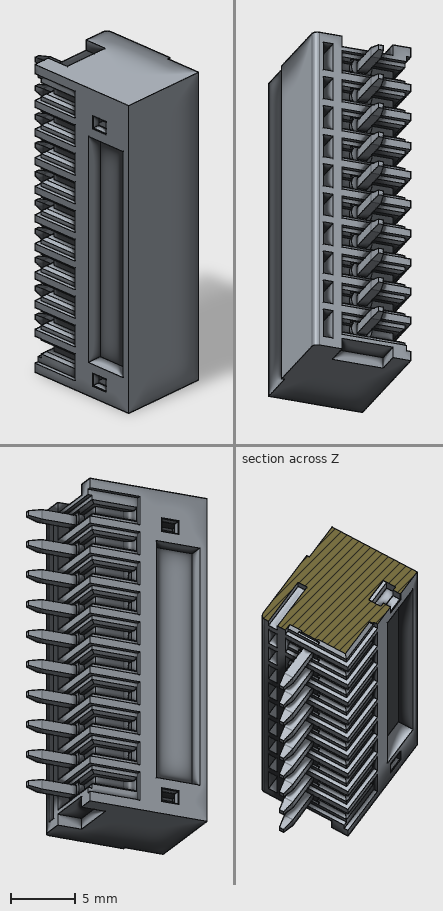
import cadquery as cq


CELL_COUNT = 10
PITCH = 2.5
ROW_HALF = PITCH * (CELL_COUNT - 1) / 2
CELL_HEIGHTS = [-ROW_HALF + PITCH * i for i in range(CELL_COUNT)]

BODY_LENGTH = 10.1
BODY_HEIGHT = 26.9
FRONT_Y = -3.9
BACK_Y = 4.2
BACK_STEP_X = 6.8
BACK_STEP_DEPTH = 0.25
BACK_EDGE_RADIUS = 0.45

SLOT_END_X = 4.3
SLOT_END_Y = 1.85
LEDGE_DEPTH = 0.35
LEDGE_HALF_HEIGHT = 0.95
MOUTH_HALF_HEIGHT = 0.6
GROOVE_HALF_HEIGHT = 0.4
LEAD_IN_DEPTH = 0.3
GROOVE_X = 1.0
GROOVE_Y = FRONT_Y + 1.1
GROOVE_RADIUS = 0.78
GROOVE_END_X = 4.2
END_LEDGE_HALF_HEIGHT = 1.4

SLIT_START_X = 3.8
SLIT_WIDTH = 0.2
SLIT_FLOOR_Y = GROOVE_Y + 0.4
FIRST_SLIT_CELL = 1
LAST_SLIT_CELL = 7

COLLAR_RADIUS = 0.85
COLLAR_FACE_X = 0.53
RELIEF_HALF_WIDTH = 0.93

POCKET_BACK_Y = BACK_Y - 0.8
POCKET_WIDTH = 0.8
POCKET_DEPTH = SLOT_END_X

NOTCH_LENGTH = 2.05
NOTCH_DEPTH = 0.9
NOTCH_FRONT_Y = FRONT_Y + 1.5

LABEL_START_X = 5.75
LABEL_END_X = 9.47
LABEL_CENTER_Z = -0.66
LABEL_HEIGHT = 19.75
LABEL_DEPTH = 1.35

WINDOW_DROP = 0.63
WINDOW_CENTER_X = 6.93
WINDOW_LENGTH = 1.5
WINDOW_HEIGHT = 1.15
WINDOW_CHAMFER = 0.06
WALL_THICKNESS = 0.7
CHAMBER_MARGIN = 0.3
CHAMBER_DEPTH = 0.8
CHAMBER_STEP_RISE = 0.21
CHAMBER_STEP_DEPTH = 0.3

PIN_SIZE = 0.8
PIN_TIP_SIZE = 0.4
PIN_REACH = 3.5
PIN_TIP_LENGTH = 1.05


def block(x_range, y_range, z_range):
    """Box between two limits along each axis."""
    corner = (x_range[0], y_range[0], z_range[0])
    size = [limits[1] - limits[0] for limits in (x_range, y_range, z_range)]
    return cq.Workplane("XY").box(*size, centered=False).translate(corner)


def make_housing():
    """Block with a rounded rear edge and a shallow step along the back."""
    half = BODY_HEIGHT / 2
    body = block((0, BODY_LENGTH), (FRONT_Y, BACK_Y), (-half, half))
    body = body.edges("|Z and <X and >Y").fillet(BACK_EDGE_RADIUS)
    return body.cut(block((BACK_STEP_X, BODY_LENGTH), (BACK_Y - BACK_STEP_DEPTH, BACK_Y), (-half, half)))


def cell_limits(z):
    """Limits of a cell along Z, drawn out towards the end of the housing in the end cells."""
    low = END_LEDGE_HALF_HEIGHT if z == CELL_HEIGHTS[0] else LEDGE_HALF_HEIGHT
    high = END_LEDGE_HALF_HEIGHT if z == CELL_HEIGHTS[-1] else LEDGE_HALF_HEIGHT
    return (z - low, z + high)


def make_ledge(z):
    """Shallow recess around a contact slot, in the mounting face and in the front face."""
    side = block((0, LEDGE_DEPTH), (FRONT_Y, SLOT_END_Y), (z - LEDGE_HALF_HEIGHT, z + LEDGE_HALF_HEIGHT))
    front = block((0, SLOT_END_X), (FRONT_Y, FRONT_Y + LEDGE_DEPTH), cell_limits(z))
    return side.union(front)


def groove_prism(z, half_height):
    """Plan of a contact groove, with its rounded inner end, extruded about the middle of a cell."""
    return (
        cq.Workplane("XY", origin=(0, 0, z - half_height))
        .moveTo(0, FRONT_Y)
        .lineTo(GROOVE_END_X, FRONT_Y)
        .lineTo(GROOVE_END_X, GROOVE_Y - GROOVE_RADIUS)
        .radiusArc((GROOVE_END_X - GROOVE_RADIUS, GROOVE_Y), -GROOVE_RADIUS)
        .lineTo(GROOVE_X, GROOVE_Y)
        .lineTo(GROOVE_X, SLOT_END_Y)
        .lineTo(0, SLOT_END_Y)
        .close()
        .extrude(2 * half_height)
    )


def lead_in_section(plane):
    """Trapezoid that narrows from the mouth to the groove, in the coordinates (depth, height)."""
    inner = LEDGE_DEPTH + LEAD_IN_DEPTH
    return (
        cq.Workplane(plane)
        .moveTo(LEDGE_DEPTH, -MOUTH_HALF_HEIGHT)
        .lineTo(inner, -GROOVE_HALF_HEIGHT)
        .lineTo(inner, GROOVE_HALF_HEIGHT)
        .lineTo(LEDGE_DEPTH, MOUTH_HALF_HEIGHT)
        .close()
    )


def make_lead_in(z):
    """Sloped lead-in from the ledge to the groove on both faces, mitred at the corner."""
    side = lead_in_section("XZ").extrude(SLOT_END_Y - FRONT_Y - LEDGE_DEPTH)
    side = side.translate((0, SLOT_END_Y, 0))
    front = lead_in_section("YZ").extrude(SLOT_END_X - LEDGE_DEPTH)
    front = front.translate((LEDGE_DEPTH, FRONT_Y, 0))
    lead_in = side.union(front).translate((0, 0, z))
    return lead_in.intersect(groove_prism(z, MOUTH_HALF_HEIGHT))


def make_slit(z):
    """Narrow slit across the rounded end of a groove, running past its floor."""
    slit_x = (SLIT_START_X, SLIT_START_X + SLIT_WIDTH)
    slit_z = (z - GROOVE_HALF_HEIGHT, z + GROOVE_HALF_HEIGHT)
    return block(slit_x, (GROOVE_Y - GROOVE_RADIUS, SLIT_FLOOR_Y), slit_z)


def make_collar(z):
    """Round collar that carries a pin inside its slot."""
    return (
        cq.Workplane("YZ", origin=(COLLAR_FACE_X, 0, z))
        .circle(COLLAR_RADIUS)
        .extrude(GROOVE_X - COLLAR_FACE_X)
    )


def make_relief(z):
    """Straight-sided opening in front of a collar, as high as the mouth of the lead-in."""
    z_range = (z - MOUTH_HALF_HEIGHT, z + MOUTH_HALF_HEIGHT)
    return block((LEDGE_DEPTH, COLLAR_FACE_X), (-RELIEF_HALF_WIDTH, RELIEF_HALF_WIDTH), z_range)


def make_pin(z):
    """Square pin with a tapered tip."""
    shank_start = PIN_TIP_LENGTH - PIN_REACH
    shank = (
        cq.Workplane("YZ", origin=(shank_start, 0, z))
        .rect(PIN_SIZE, PIN_SIZE)
        .extrude(GROOVE_X - shank_start)
    )
    tip = (
        cq.Workplane("YZ", origin=(-PIN_REACH, 0, z))
        .rect(PIN_TIP_SIZE, PIN_TIP_SIZE)
        .workplane(offset=PIN_TIP_LENGTH)
        .rect(PIN_SIZE, PIN_SIZE)
        .loft()
    )
    return shank.union(tip)


def make_notch(end):
    """Notch in the upper (end = 1) or lower (end = -1) end of the housing."""
    outer = end * BODY_HEIGHT / 2
    inner = outer - end * NOTCH_DEPTH
    return block((0, NOTCH_LENGTH), (NOTCH_FRONT_Y, SLOT_END_Y), sorted((inner, outer)))


def make_window(z):
    """Chamfered window in the front face and the chamber behind it, whose back is stepped."""
    center_z = z - WINDOW_DROP
    half_height = WINDOW_HEIGHT / 2
    throat_length = WINDOW_LENGTH - 2 * WINDOW_CHAMFER
    throat_height = WINDOW_HEIGHT - 2 * WINDOW_CHAMFER
    window = cq.Workplane("XZ", origin=(WINDOW_CENTER_X, FRONT_Y, center_z))
    mouth = (
        window.rect(WINDOW_LENGTH, WINDOW_HEIGHT)
        .workplane(offset=-WINDOW_CHAMFER)
        .rect(throat_length, throat_height)
        .loft()
    )
    throat = window.rect(throat_length, throat_height).extrude(-WALL_THICKNESS)

    half_length = WINDOW_LENGTH / 2 + CHAMBER_MARGIN
    chamber_x = (WINDOW_CENTER_X - half_length, WINDOW_CENTER_X + half_length)
    chamber_front_y = FRONT_Y + WALL_THICKNESS
    chamber_back_y = chamber_front_y + CHAMBER_DEPTH
    chamber_z = (center_z - half_height, center_z + half_height)
    chamber = block(chamber_x, (chamber_front_y, chamber_back_y), chamber_z)
    step_y = (chamber_back_y, chamber_back_y + CHAMBER_STEP_DEPTH)
    step = block(chamber_x, step_y, (center_z + CHAMBER_STEP_RISE, chamber_z[1]))
    return mouth.union(throat).union(chamber).union(step)


def make_label_recess():
    """Long shallow recess in the front face, between the windows."""
    z_range = (LABEL_CENTER_Z - LABEL_HEIGHT / 2, LABEL_CENTER_Z + LABEL_HEIGHT / 2)
    return block((LABEL_START_X, LABEL_END_X), (FRONT_Y, FRONT_Y + LABEL_DEPTH), z_range)


def make_slot(z):
    """Complete contact slot of one cell, leaving its collar standing."""
    groove = groove_prism(z, GROOVE_HALF_HEIGHT).union(make_lead_in(z))
    return groove.cut(make_collar(z)).union(make_relief(z)).union(make_ledge(z))


def make_pocket(z):
    """Rear pocket of one cell, in the mounting face."""
    return block((0, POCKET_DEPTH), (POCKET_BACK_Y - POCKET_WIDTH, POCKET_BACK_Y), cell_limits(z))


result = make_housing()
for cell_z in CELL_HEIGHTS:
    result = result.cut(make_slot(cell_z)).cut(make_pocket(cell_z))
for cell_z in CELL_HEIGHTS[FIRST_SLIT_CELL : LAST_SLIT_CELL + 1]:
    result = result.cut(make_slit(cell_z))
for end in (-1, 1):
    result = result.cut(make_notch(end))
for cell_z in (CELL_HEIGHTS[0], CELL_HEIGHTS[-1]):
    result = result.cut(make_window(cell_z))
result = result.cut(make_label_recess())
for cell_z in CELL_HEIGHTS:
    result = result.union(make_pin(cell_z))